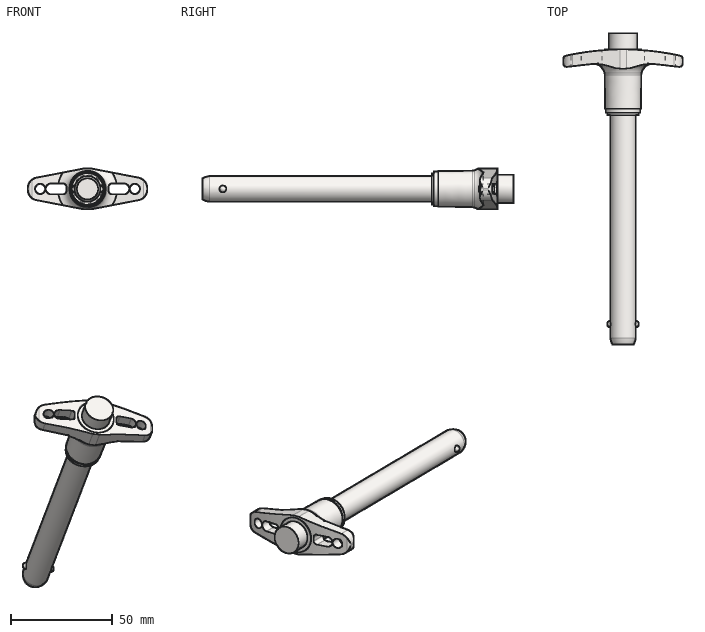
import cadquery as cq

length = 153.9

shaft_diameter = 12.8
shaft_radius = shaft_diameter / 2
tip_radius = 5.2
tip_length = 3.4
tip_mid_radius = 6.0
ball_radius = 1.7
ball_offset = 6.2
ball_y = 10.2

lip_radius = 7.8
lip_y = 113.5
collar_radius = 8.6
collar_y = 114.5
barrel_radius = 9.0
barrel_top_radius = 9.1
barrel_y = 116.7
barrel_top_y = 133.5
button_radius = 7.1
button_length = 8.0

flare_base_radius = 9.2
flare_base_y = 134.4
flare_radius = 14.6
flare_top_y = 138.7
flare_mid_radius = 10.5
flare_mid_y = 136.7

handle_half_span = 29.5
handle_half_width = 10.2
flat_half_length = 1.7
end_half_width = 4.8
end_corner_radius = 5.4
handle_top_y = length - button_length
end_top_y = 142.5
end_bottom_y = 137.0
ridge_y = 140.4
end_edge_radius = 1.7

hole_x = 23.4
hole_radius = 2.5
slot_inner_x = 10.5
slot_outer_x = 20.6
slot_half_width = 2.6
slot_inner_corner_radius = 1.7


def make_body():
    """Turned shaft, collar steps, slightly tapered barrel and push button."""
    return (
        cq.Workplane("XY")
        .lineTo(tip_radius, 0)
        .threePointArc((tip_mid_radius, tip_length / 2), (shaft_radius, tip_length))
        .lineTo(shaft_radius, lip_y)
        .lineTo(lip_radius, lip_y)
        .lineTo(lip_radius, collar_y)
        .lineTo(collar_radius, collar_y)
        .lineTo(collar_radius, barrel_y)
        .lineTo(barrel_radius, barrel_y)
        .lineTo(barrel_top_radius, barrel_top_y)
        .lineTo(barrel_top_radius, handle_top_y)
        .lineTo(button_radius, handle_top_y)
        .lineTo(button_radius, length)
        .lineTo(0, length)
        .close()
        .revolve(360, (0, 0, 0), (0, 1, 0))
    )


def make_planform():
    """Tapered handle outline in XZ, extruded along Y through the whole handle."""
    quarter = [(flat_half_length, handle_half_width), (handle_half_span, end_half_width)]
    right = quarter + [(x, -z) for x, z in reversed(quarter)]
    left = [(-x, -z) for x, z in right]
    return (
        cq.Workplane("XZ")
        .polyline(right + left)
        .close()
        .extrude(-length)
        .edges("(>X or <X) and |Y")
        .fillet(end_corner_radius)
    )


def make_wings():
    """Arched bar with rounded outer edges, spanning the handle along X."""
    return (
        cq.Workplane("XY", origin=(0, 0, -handle_half_width))
        .moveTo(-handle_half_span, end_bottom_y)
        .lineTo(0, ridge_y)
        .lineTo(handle_half_span, end_bottom_y)
        .lineTo(handle_half_span, end_top_y)
        .threePointArc((0, handle_top_y), (-handle_half_span, end_top_y))
        .close()
        .extrude(2 * handle_half_width)
        .edges("(>X or <X) and |Z")
        .fillet(end_edge_radius)
    )


def make_flare():
    """Concave turned blend from the barrel out to the underside of the wings."""
    overlap_y = (flare_top_y + handle_top_y) / 2
    return (
        cq.Workplane("XY")
        .moveTo(0, barrel_top_y)
        .lineTo(barrel_top_radius, barrel_top_y)
        .lineTo(flare_base_radius, flare_base_y)
        .threePointArc((flare_mid_radius, flare_mid_y), (flare_radius, flare_top_y))
        .lineTo(flare_radius, overlap_y)
        .lineTo(0, overlap_y)
        .close()
        .revolve(360, (0, 0, 0), (0, 1, 0))
    )


def make_openings(side):
    """Round hole and slot through one wing; side is +1 or -1 along X."""
    slot_round_x = slot_outer_x - slot_half_width
    hole = cq.Workplane("XZ").center(side * hole_x, 0).circle(hole_radius).extrude(-length)
    slot = (
        cq.Workplane("XZ")
        .moveTo(side * slot_inner_x, -slot_half_width)
        .lineTo(side * slot_round_x, -slot_half_width)
        .threePointArc((side * slot_outer_x, 0), (side * slot_round_x, slot_half_width))
        .lineTo(side * slot_inner_x, slot_half_width)
        .close()
        .extrude(-length)
        .edges("<X and |Y" if side > 0 else ">X and |Y")
        .fillet(slot_inner_corner_radius)
    )
    return hole.union(slot)


def make_ball(side):
    """Locking ball partly sunk in the shaft; side is +1 or -1 along X."""
    centre = (side * ball_offset, ball_y, 0)
    return cq.Workplane("YZ").sphere(ball_radius).translate(centre)


handle = make_wings().union(make_flare()).intersect(make_planform())
result = make_body().union(handle)
for side in (-1, 1):
    result = result.union(make_ball(side)).cut(make_openings(side))